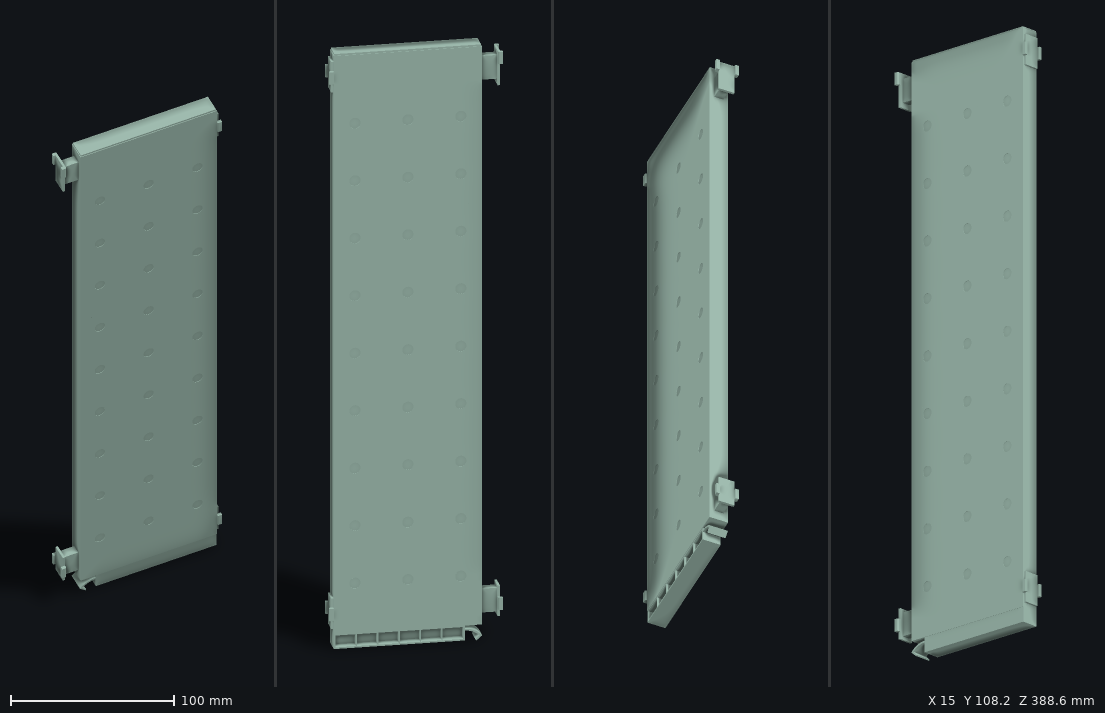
import cadquery as cq
import math


panel_x = 12.5
panel_y = 92.2
panel_z = 378.3
cap_inset = 0.4
cap_z = 1.2

dimple_columns = 3
dimple_rows = 9
dimple_pitch_y = 33.0
dimple_pitch_z = 37.5
dimple_diameter = 7.0
dimple_depth = 0.3
lowest_dimple_z = 32.5

channel_x = 12.0
channel_y = 81.7
channel_z = 9.8
channel_wall = 1.0
cell_divider = 0.5
cell_count = 6
cell_depth = channel_x / 2

flap_root_z = -2.2
flap_reach = 10.8
flap_angle = 50.0
flap_sheet = 1.2
flap_bottom_z = -10.3

plate_x = 10.5
plate_y = 1.5
plate_z = 20.0
tall_plate_z = 22.5
ear_span_x = 15.0
ear_y = 3.0
ear_z = 8.0
post_x = 6.0
post_y = 10.0
post_z = 15.5
ear_fillet = 1.0
lower_back_z = 13.1
back_spacing_z = 350.0
lower_front_z = 14.3
lower_front_ear_z = lower_back_z
upper_front_z = 361.9
upper_front_ear_z = upper_front_z + (tall_plate_z - ear_z) / 2

back_y = panel_y / 2
front_y = -panel_y / 2
channel_front_y = back_y - channel_y


def block(x_limits, y_limits, z_limits):
    """A box between pairs of limits, each pair in either order."""
    limits = (x_limits, y_limits, z_limits)
    lengths = [abs(end - start) for start, end in limits]
    corner = tuple(min(pair) for pair in limits)
    return cq.Workplane("XY", origin=corner).box(*lengths, centered=False)


def make_slab():
    """The flat body of the panel, with a slightly smaller raised top."""
    shoulder_z = panel_z - cap_z
    slab = block((-panel_x / 2, panel_x / 2), (front_y, back_y), (0, shoulder_z))
    cap_half_x = panel_x / 2 - cap_inset
    cap = block(
        (-cap_half_x, cap_half_x),
        (front_y + cap_inset, back_y - cap_inset),
        (shoulder_z, panel_z),
    )
    return slab.union(cap)


def make_dimples(side):
    """The grid of shallow round recesses on the face at side -1 or +1 of X."""
    middle_z = lowest_dimple_z + (dimple_rows - 1) * dimple_pitch_z / 2
    return (
        cq.Workplane("YZ", origin=(side * panel_x / 2, 0, middle_z))
        .rarray(dimple_pitch_y, dimple_pitch_z, dimple_columns, dimple_rows)
        .circle(dimple_diameter / 2)
        .extrude(-side * dimple_depth)
    )


def make_channel():
    """A bar below the panel with a row of cells open toward -X."""
    channel = block((-channel_x / 2, channel_x / 2), (channel_front_y, back_y), (-channel_z, 0))
    cell_pitch = (channel_y - 2 * channel_wall + cell_divider) / cell_count
    for index in range(cell_count):
        cell_back_y = back_y - channel_wall - index * cell_pitch
        cell = block(
            (-channel_x / 2, cell_depth - channel_x / 2),
            (cell_back_y, cell_back_y - cell_pitch + cell_divider),
            (channel_wall - channel_z, -channel_wall),
        )
        channel = channel.cut(cell)
    return channel


def make_flap():
    """A sheet that curves down from the channel and ends in a lip turned back at a right angle."""
    tip_angle = math.radians(flap_angle)
    outer_radius = flap_reach / math.sin(tip_angle)
    inner_radius = outer_radius - flap_sheet
    center_z = flap_root_z - outer_radius
    lip_end_radius = (flap_bottom_z - center_z) / math.cos(tip_angle)
    lip_angle = tip_angle - flap_sheet / inner_radius

    def point(radius, angle):
        return channel_front_y - radius * math.sin(angle), center_z + radius * math.cos(angle)

    return (
        cq.Workplane("YZ", origin=(-channel_x / 2, 0, 0))
        .moveTo(*point(outer_radius, 0))
        .threePointArc(point(outer_radius, tip_angle / 2), point(outer_radius, tip_angle))
        .lineTo(*point(lip_end_radius, tip_angle))
        .lineTo(*point(lip_end_radius, lip_angle))
        .lineTo(*point(inner_radius, lip_angle))
        .threePointArc(point(inner_radius, lip_angle / 2), point(inner_radius, 0))
        .close()
        .extrude(channel_x)
    )


def make_panel():
    panel = make_slab()
    for side in (-1, 1):
        panel = panel.cut(make_dimples(side))
    return panel.union(make_channel()).union(make_flap())


def make_plate_with_ears(inner_y, outward, plate_middle_z, plate_height, ear_middle_z):
    """A plate whose two ears reach out sideways and away from the panel."""
    half_height = plate_height / 2
    plate = block(
        (-plate_x / 2, plate_x / 2),
        (inner_y, inner_y + outward * plate_y),
        (plate_middle_z - half_height, plate_middle_z + half_height),
    )
    for side in (-1, 1):
        ear = block(
            (side * plate_x / 2, side * ear_span_x / 2),
            (inner_y, inner_y + outward * ear_y),
            (ear_middle_z - ear_z / 2, ear_middle_z + ear_z / 2),
        )
        panel_side = ">Y" if outward < 0 else "<Y"
        outer_side = ">X" if side > 0 else "<X"
        ear = ear.faces(panel_side).edges(outer_side).fillet(ear_fillet)
        plate = plate.union(ear)
    return plate


def make_back_bracket(middle_z):
    """A plate that lies directly on the panel's back edge."""
    return make_plate_with_ears(back_y, 1, middle_z, plate_z, middle_z)


def make_front_bracket(middle_z, plate_height, ear_middle_z):
    """A plate held off the panel's front edge by a post."""
    plate_inner_y = front_y - post_y
    post = block(
        (-post_x / 2, post_x / 2),
        (front_y, plate_inner_y),
        (middle_z - post_z / 2, middle_z + post_z / 2),
    )
    plate = make_plate_with_ears(plate_inner_y, -1, middle_z, plate_height, ear_middle_z)
    return post.union(plate)


panel = make_panel()

back_brackets = [make_back_bracket(lower_back_z + index * back_spacing_z) for index in range(2)]

front_brackets = [
    make_front_bracket(lower_front_z, plate_z, lower_front_ear_z),
    make_front_bracket(upper_front_z, tall_plate_z, upper_front_ear_z),
]

result = cq.Compound.makeCompound([body.val() for body in [panel, *back_brackets, *front_brackets]])